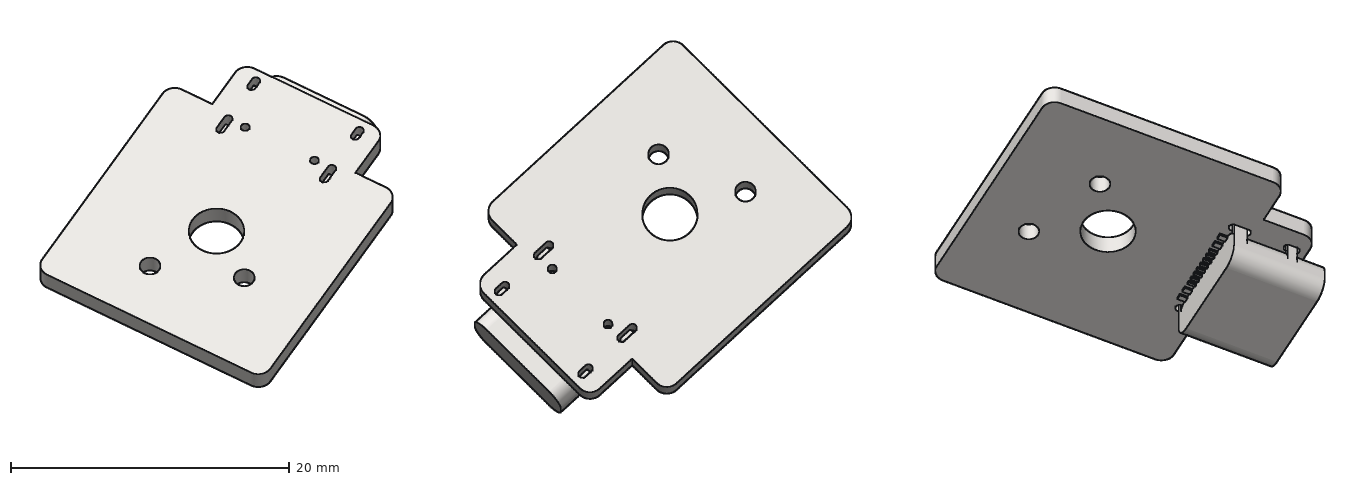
import cadquery as cq

board_width = 19.05
board_depth = board_width
board_thickness = 1.6
corner_radius = 1.01
tongue_width = 11.95
overall_length = 24.7
connector_overhang = 1.4
tongue_front = overall_length - connector_overhang

stem_hole_diameter = 3.98
pin_hole_diameter = 1.48
switch_y = board_depth / 2
pin_pitch = 2.55
pin_places = [
    (1.5 * pin_pitch, switch_y - pin_pitch),
    (-pin_pitch, switch_y - 2 * pin_pitch),
]

shell_width = 8.95
shell_length = 7.29
shell_radius = 1.24
overall_height = 4.87
board_gap = 0.05
shell_top = -board_gap
shell_bottom = board_thickness - overall_height
shell_rear = overall_length - shell_length

leg_thickness = 0.32
leg_depth_in_board = 1.0
leg_tip_radius = 0.22
front_leg_length = 0.75
front_leg_y = 22.1
rear_leg_length = 1.05
rear_leg_y = shell_rear + rear_leg_length / 2
legs = [(front_leg_y, front_leg_length), (rear_leg_y, rear_leg_length)]

slot_width = 0.62
slot_x = 4.32
front_slot_length = 1.2
rear_slot_length = 1.7
rear_slot_y = 17.95
slots = [(front_leg_y, front_slot_length), (rear_slot_y, rear_slot_length)]

peg_hole_diameter = 0.65
peg_diameter = 0.52
peg_depth_in_board = 0.5
peg_chamfer = 0.1
peg_x = 2.9
peg_y = 18.48

tail_length = 0.62
tail_thickness = 0.17
signal_tail_width = 0.2
signal_tail_pitch = 0.5
signal_tail_count = 8
power_tail_width = 0.42
power_tail_places = [2.45, 3.24]


def mirrored(places):
    """The (x, y) places together with their mirror images in X = 0."""
    return [(side * x, y) for x, y in places for side in (-1, 1)]


def box(x_size, y_size, z_bottom, z_top, x, y):
    """A box centred on (x, y) between two heights."""
    return (
        cq.Workplane("XY", origin=(x, y, z_bottom))
        .rect(x_size, y_size)
        .extrude(z_top - z_bottom)
    )


def round_holes(places, diameter):
    """Cylinders that cut round holes through the board."""
    return cq.Workplane("XY").pushPoints(places).circle(diameter / 2).extrude(board_thickness)


def make_board():
    body = box(board_width, board_depth, 0, board_thickness, 0, board_depth / 2)
    body = body.edges("|Z").fillet(corner_radius)

    tongue_rear = board_depth / 2
    tongue_length = tongue_front - tongue_rear
    tongue = box(tongue_width, tongue_length, 0, board_thickness, 0, tongue_rear + tongue_length / 2)
    tongue = tongue.edges("|Z and >Y").fillet(corner_radius)
    body = body.union(tongue)

    body = body.cut(round_holes([(0, switch_y)], stem_hole_diameter))
    body = body.cut(round_holes(pin_places, pin_hole_diameter))
    body = body.cut(round_holes(mirrored([(peg_x, peg_y)]), peg_hole_diameter))
    for y, length in slots:
        slot_pair = cq.Workplane("XY").pushPoints(mirrored([(slot_x, y)])).slot2D(length, slot_width, 90)
        body = body.cut(slot_pair.extrude(board_thickness))
    return body


def make_shell():
    shell = box(shell_width, shell_length, shell_bottom, shell_top, 0, shell_rear + shell_length / 2)
    return shell.edges("|Y").fillet(shell_radius)


def make_leg(x, y, length):
    leg_root = shell_top - shell_radius
    leg = box(leg_thickness, length, leg_root, leg_depth_in_board, x, y)
    return leg.edges("|X and >Z").fillet(leg_tip_radius)


def make_peg(x, y):
    peg_height = peg_depth_in_board - shell_top
    peg = cq.Workplane("XY", origin=(x, y, shell_top)).circle(peg_diameter / 2).extrude(peg_height)
    return peg.faces(">Z").chamfer(peg_chamfer)


def make_tail(x, width):
    return box(width, tail_length, shell_top - tail_thickness, shell_top, x, shell_rear - tail_length / 2)


def make_connector():
    body = make_shell()

    leg_x = (shell_width - leg_thickness) / 2
    for leg_y, length in legs:
        for x, y in mirrored([(leg_x, leg_y)]):
            body = body.union(make_leg(x, y, length))

    for x, y in mirrored([(peg_x, peg_y)]):
        body = body.union(make_peg(x, y))

    for i in range(signal_tail_count):
        x = (i - (signal_tail_count - 1) / 2) * signal_tail_pitch
        body = body.union(make_tail(x, signal_tail_width))
    for place in power_tail_places:
        for x in (-place, place):
            body = body.union(make_tail(x, power_tail_width))
    return body


board = make_board()
connector = make_connector()
result = cq.Compound.makeCompound([board.val(), connector.val()])